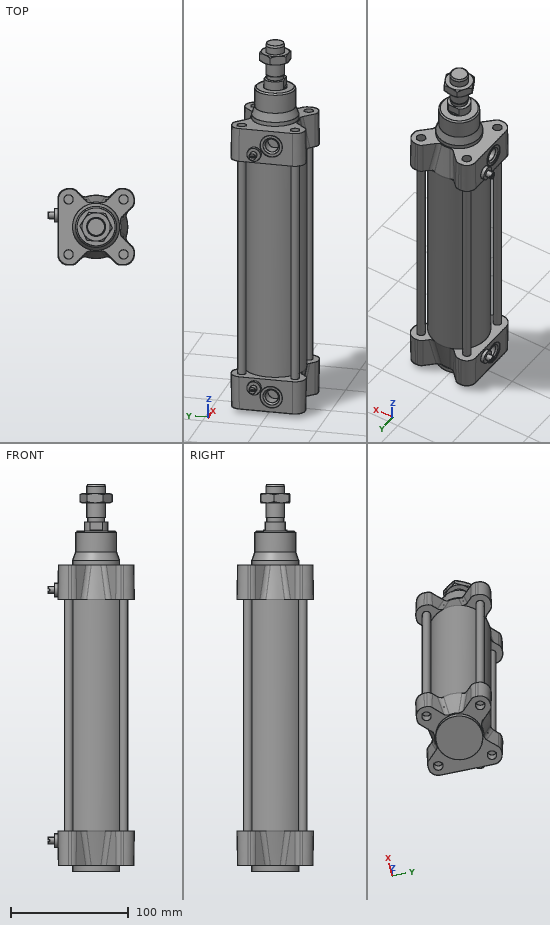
import cadquery as cq
import math

TOTAL_HEIGHT = 329.0
REAR_BOSS_HEIGHT = 5.0
HEAD_HEIGHT = 29.5
BARREL_LENGTH = 196.5
FRONT_BOSS_STEP = 3.5
FRONT_BOSS_CONE = 7.2
NECK_HEIGHT = 17.8

REAR_HEAD_TOP = REAR_BOSS_HEIGHT + HEAD_HEIGHT
FRONT_HEAD_BOTTOM = REAR_HEAD_TOP + BARREL_LENGTH
FRONT_HEAD_TOP = FRONT_HEAD_BOTTOM + HEAD_HEIGHT
NECK_BOTTOM = FRONT_HEAD_TOP + FRONT_BOSS_STEP + FRONT_BOSS_CONE
NECK_TOP = NECK_BOTTOM + NECK_HEIGHT
MID_HEIGHT = (REAR_HEAD_TOP + FRONT_HEAD_BOTTOM) / 2

BARREL_DIA = 54.0
BOSS_DIA = 40.0
NECK_DIA = 35.0
NECK_CHAMFER = 1.3
TIE_ROD_DIA = 7.2
TIE_HOLE_DIA = 8.0
TIE_ROD_OFFSET = 23.5
TIE_HOLE_DEPTH = 10.0

HEAD_WIDTH = 65.0
OVERALL_WIDTH = 73.5
HEAD_DRAFT = 1.0
CORE_WIDE_DIA = BARREL_DIA
CORE_NARROW_DIA = 42.0
VALLEY_FILLET = 5.0
HALF_WIDTH = HEAD_WIDTH / 2
CORNER_RADIUS = HALF_WIDTH - TIE_ROD_OFFSET
ARM_FLAT = 2.3
FLANK_RADIUS = 6.3

PORT_Y = -4.5
PORT_FROM_BARREL = 16.0
PORT_DIA = 11.5
PORT_DEPTH = 11.5
PORT_MOUTH_DIA = 14.5
SPOTFACE_DIA = 19.5
SPOTFACE_X = 1.0 - HALF_WIDTH

SCREW_Y = 10.0
SCREW_FROM_BARREL = 8.2
SCREW_TIP_X = HALF_WIDTH - OVERALL_WIDTH
SCREW_COLLAR_DIA = 12.0
SCREW_COLLAR_X = -35.5
SCREW_SHANK_DIA = 6.0
SCREW_SLOT_WIDTH = 1.3
SCREW_SLOT_DEPTH = 1.3

ROD_DIA = 20.0
ROD_ACROSS_FLATS = 17.0
ROD_FLAT_BOTTOM = NECK_TOP + 1.0
ROD_SHOULDER = 297.0
THREAD_DIA = 16.0
THREAD_BOTTOM = 300.7
UNDERCUT_DIA = 14.5
TIP_DIA = 14.5
TIP_CHAMFER_HEIGHT = 2.0

NUT_ACROSS_FLATS = 24.0
NUT_HEIGHT = 8.0
NUT_BOTTOM = 313.2
NUT_TURN = 4.0
NUT_CHAMFER_ANGLE = 30.0


def disc(diameter, bottom, top):
    return cq.Workplane("XY").workplane(offset=bottom).circle(diameter / 2).extrude(top - bottom)


def revolve_profile(points):
    """Turn (radius, height) points around the Z axis."""
    return cq.Workplane("XZ").polyline(points).close().revolve(360, (0, 0, 0), (0, 1, 0))


def pin_along_x(diameter, y, z, start, end):
    plane = cq.Plane(origin=(start, y, z), xDir=(0, 1, 0), normal=(1, 0, 0))
    return cq.Workplane(plane).circle(diameter / 2).extrude(end - start)


def tie_rod_centres():
    return [(sx * TIE_ROD_OFFSET, sy * TIE_ROD_OFFSET) for sx in (-1, 1) for sy in (-1, 1)]


def arm_plate():
    """Drafted plate with four rounded arms; the -X side is closed by a flat face."""
    w = HALF_WIDTH
    c = TIE_ROD_OFFSET
    corner_mid = c + CORNER_RADIUS * math.sqrt(0.5)
    flat_end = c - ARM_FLAT
    arc_mid_in = flat_end - FLANK_RADIUS * math.sin(math.pi / 8)
    arc_mid_out = w - FLANK_RADIUS * (1 - math.cos(math.pi / 8))
    flank_in = flat_end - FLANK_RADIUS * math.sqrt(0.5)
    flank_out = w - FLANK_RADIUS * (1 - math.sqrt(0.5))
    valley = flank_out - flank_in
    outline = (
        cq.Workplane("XY")
        .moveTo(-w, -c)
        .threePointArc((-corner_mid, -corner_mid), (-c, -w))
        .lineTo(-flat_end, -w)
        .threePointArc((-arc_mid_in, -arc_mid_out), (-flank_in, -flank_out))
        .lineTo(0, -valley)
        .lineTo(flank_in, -flank_out)
        .threePointArc((arc_mid_in, -arc_mid_out), (flat_end, -w))
        .lineTo(c, -w)
        .threePointArc((corner_mid, -corner_mid), (w, -c))
        .lineTo(w, -flat_end)
        .threePointArc((arc_mid_out, -arc_mid_in), (flank_out, -flank_in))
        .lineTo(valley, 0)
        .lineTo(flank_out, flank_in)
        .threePointArc((arc_mid_out, arc_mid_in), (w, flat_end))
        .lineTo(w, c)
        .threePointArc((corner_mid, corner_mid), (c, w))
        .lineTo(flat_end, w)
        .threePointArc((arc_mid_in, arc_mid_out), (flank_in, flank_out))
        .lineTo(0, valley)
        .lineTo(-flank_in, flank_out)
        .threePointArc((-arc_mid_in, arc_mid_out), (-flat_end, w))
        .lineTo(-c, w)
        .threePointArc((-corner_mid, corner_mid), (-w, c))
        .close()
    )
    return outline.extrude(HEAD_HEIGHT, taper=HEAD_DRAFT)


def head_casting():
    """Arms blended into the conical core, standing on the barrel side at Z = 0."""
    core = revolve_profile([
        (0, 0),
        (CORE_WIDE_DIA / 2, 0),
        (CORE_NARROW_DIA / 2, HEAD_HEIGHT),
        (0, HEAD_HEIGHT),
    ])
    return arm_plate().union(core).edges("%HYPERBOLA").fillet(VALLEY_FILLET)


def port_cutter():
    """Spotface, countersunk mouth and blind bore of the air port."""
    spotface = pin_along_x(SPOTFACE_DIA, PORT_Y, PORT_FROM_BARREL, -HALF_WIDTH, SPOTFACE_X)
    chamfer = (PORT_MOUTH_DIA - PORT_DIA) / 2
    bore = pin_along_x(PORT_DIA, PORT_Y, PORT_FROM_BARREL, SPOTFACE_X, SPOTFACE_X + PORT_DEPTH)
    plane = cq.Plane(origin=(SPOTFACE_X, PORT_Y, PORT_FROM_BARREL), xDir=(0, 1, 0), normal=(1, 0, 0))
    mouth = cq.Workplane(plane).circle(PORT_MOUTH_DIA / 2).extrude(chamfer, taper=45)
    return spotface.union(bore).union(mouth)


def cushioning_screw():
    collar = pin_along_x(SCREW_COLLAR_DIA, SCREW_Y, SCREW_FROM_BARREL, SCREW_COLLAR_X, -TIE_ROD_OFFSET)
    shank = pin_along_x(SCREW_SHANK_DIA, SCREW_Y, SCREW_FROM_BARREL, SCREW_TIP_X, SCREW_COLLAR_X)
    slot = cq.Workplane("XY").box(2 * SCREW_SLOT_DEPTH, SCREW_SHANK_DIA, SCREW_SLOT_WIDTH)
    return collar.union(shank.cut(slot.translate((SCREW_TIP_X, SCREW_Y, SCREW_FROM_BARREL))))


def head():
    tie_holes = (
        cq.Workplane("XY")
        .workplane(offset=HEAD_HEIGHT - TIE_HOLE_DEPTH)
        .pushPoints(tie_rod_centres())
        .circle(TIE_HOLE_DIA / 2)
        .extrude(TIE_HOLE_DEPTH)
    )
    return head_casting().cut(tie_holes).cut(port_cutter()).union(cushioning_screw())


def make_housing():
    front_head = head().translate((0, 0, FRONT_HEAD_BOTTOM))
    rear_head = front_head.mirror("XY", (0, 0, MID_HEIGHT))
    barrel = disc(BARREL_DIA, REAR_HEAD_TOP, FRONT_HEAD_BOTTOM)
    tie_rods = (
        cq.Workplane("XY")
        .workplane(offset=REAR_HEAD_TOP)
        .pushPoints(tie_rod_centres())
        .circle(TIE_ROD_DIA / 2)
        .extrude(BARREL_LENGTH)
    )
    rear_boss = disc(BOSS_DIA, 0, REAR_BOSS_HEIGHT)
    front_boss = revolve_profile([
        (0, FRONT_HEAD_TOP),
        (BOSS_DIA / 2, FRONT_HEAD_TOP),
        (BOSS_DIA / 2, FRONT_HEAD_TOP + FRONT_BOSS_STEP),
        (NECK_DIA / 2, NECK_BOTTOM),
        (NECK_DIA / 2, NECK_TOP - NECK_CHAMFER),
        (NECK_DIA / 2 - NECK_CHAMFER, NECK_TOP),
        (0, NECK_TOP),
    ])
    body = barrel.union(front_head).union(rear_head).union(tie_rods).union(rear_boss).union(front_boss)
    return body.cut(disc(ROD_DIA, FRONT_HEAD_BOTTOM, NECK_TOP))


def make_piston_rod():
    rod = revolve_profile([
        (0, FRONT_HEAD_BOTTOM),
        (ROD_DIA / 2, FRONT_HEAD_BOTTOM),
        (ROD_DIA / 2, ROD_SHOULDER),
        (UNDERCUT_DIA / 2, ROD_SHOULDER),
        (UNDERCUT_DIA / 2, THREAD_BOTTOM),
        (THREAD_DIA / 2, THREAD_BOTTOM),
        (THREAD_DIA / 2, TOTAL_HEIGHT - TIP_CHAMFER_HEIGHT),
        (TIP_DIA / 2, TOTAL_HEIGHT),
        (0, TOTAL_HEIGHT),
    ])
    flat_depth = (ROD_DIA - ROD_ACROSS_FLATS) / 2
    flat_height = ROD_SHOULDER - ROD_FLAT_BOTTOM
    cutter = cq.Workplane("XY").box(ROD_DIA, flat_depth, flat_height)
    for side in (-1, 1):
        y = side * (ROD_DIA - flat_depth) / 2
        rod = rod.cut(cutter.translate((0, y, ROD_FLAT_BOTTOM + flat_height / 2)))
    return rod


def make_lock_nut():
    across_corners = NUT_ACROSS_FLATS / math.cos(math.pi / 6)
    corner_drop = (across_corners - NUT_ACROSS_FLATS) / 2 * math.tan(math.radians(NUT_CHAMFER_ANGLE))
    top = NUT_BOTTOM + NUT_HEIGHT
    hexagon = (
        cq.Workplane("XY")
        .workplane(offset=NUT_BOTTOM)
        .polygon(6, across_corners)
        .extrude(NUT_HEIGHT)
        .rotate((0, 0, 0), (0, 0, 1), -NUT_TURN)
    )
    chamfered_blank = revolve_profile([
        (THREAD_DIA / 2, NUT_BOTTOM),
        (NUT_ACROSS_FLATS / 2, NUT_BOTTOM),
        (across_corners / 2, NUT_BOTTOM + corner_drop),
        (across_corners / 2, top - corner_drop),
        (NUT_ACROSS_FLATS / 2, top),
        (THREAD_DIA / 2, top),
    ])
    return hexagon.intersect(chamfered_blank)


housing = make_housing()
piston_rod = make_piston_rod()
lock_nut = make_lock_nut()

result = cq.Compound.makeCompound([
    housing.solids().val(),
    piston_rod.solids().val(),
    lock_nut.solids().val(),
])